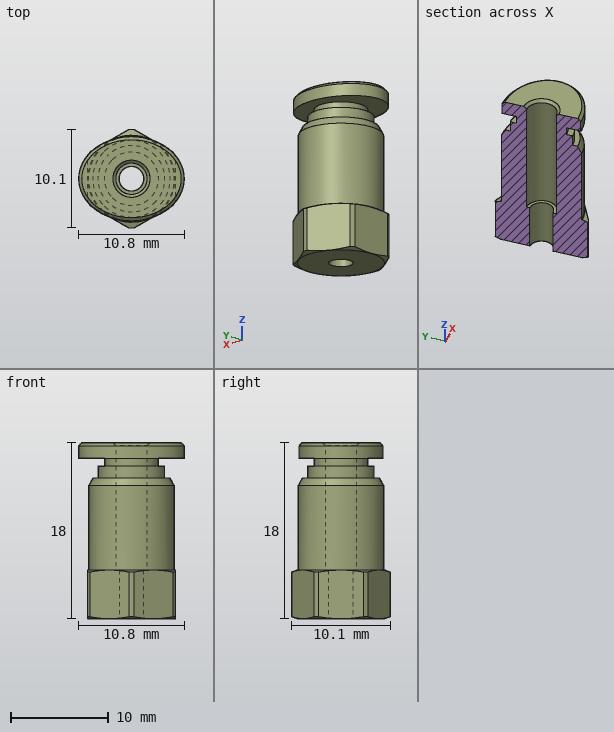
import cadquery as cq
import math

HEX_TOP = 5.0
BODY_TOP = 14.4
COLLAR_TOP = 15.6
BUTTON_BOTTOM = 16.4
TOTAL_HEIGHT = 18.0

HEX_ACROSS_FLATS = 9.0
HEX_CORNER_DIAMETER = 10.1
HEX_CHAMFER_DIAMETER = 8.9
HEX_CHAMFER_ANGLE = 20.0

BODY_DIAMETER = 8.75
BODY_CHAMFER_HEIGHT = 0.8
BODY_CHAMFER_WIDTH = 0.43
COLLAR_DIAMETER = 6.8
NECK_DIAMETER = 5.5

BUTTON_LENGTH = 10.8
BUTTON_WIDTH = 8.6
BUTTON_CHAMFER = 0.32

THROUGH_DIAMETER = 2.5
TUBE_DIAMETER = 3.2
TUBE_MOUTH_DIAMETER = 3.8
TUBE_SEAT_HEIGHT = HEX_TOP


def cylinder(diameter, bottom, top):
    """Upright cylinder on the Z axis between two heights."""
    return cq.Workplane("XY").workplane(offset=bottom).circle(diameter / 2).extrude(top - bottom)


def hex_base():
    """Hexagon with two corners on the Y axis, its corners rounded and its ends conically chamfered."""
    across_corners = HEX_ACROSS_FLATS / math.cos(math.radians(30))
    prism = cq.Workplane("XY").polygon(6, across_corners).extrude(HEX_TOP)
    prism = prism.rotate((0, 0, 0), (0, 0, 1), 30)

    corner_radius = HEX_CORNER_DIAMETER / 2
    end_radius = HEX_CHAMFER_DIAMETER / 2
    chamfer_drop = (corner_radius - end_radius) * math.tan(math.radians(HEX_CHAMFER_ANGLE))
    envelope = (
        cq.Workplane("XZ")
        .moveTo(0, 0)
        .lineTo(end_radius, 0)
        .lineTo(corner_radius, chamfer_drop)
        .lineTo(corner_radius, HEX_TOP - chamfer_drop)
        .lineTo(end_radius, HEX_TOP)
        .lineTo(0, HEX_TOP)
        .close()
        .revolve(360, (0, 0, 0), (0, 1, 0))
    )
    return prism.intersect(envelope)


def body():
    """Round body with a steep chamfer at its upper edge."""
    plain = cylinder(BODY_DIAMETER, HEX_TOP, BODY_TOP)
    return plain.faces(">Z").chamfer(BODY_CHAMFER_HEIGHT, BODY_CHAMFER_WIDTH)


def button():
    """Elliptical plate chamfered around its top edge."""
    plate = (
        cq.Workplane("XY")
        .workplane(offset=BUTTON_BOTTOM)
        .ellipse(BUTTON_LENGTH / 2, BUTTON_WIDTH / 2)
        .extrude(TOTAL_HEIGHT - BUTTON_BOTTOM)
    )
    return plate.faces(">Z").chamfer(BUTTON_CHAMFER)


def bore():
    """Through hole, wider tube socket above it and a 45 degree lead-in at the top."""
    lead_in = (TUBE_MOUTH_DIAMETER - TUBE_DIAMETER) / 2
    return (
        cq.Workplane("XZ")
        .moveTo(0, 0)
        .lineTo(THROUGH_DIAMETER / 2, 0)
        .lineTo(THROUGH_DIAMETER / 2, TUBE_SEAT_HEIGHT)
        .lineTo(TUBE_DIAMETER / 2, TUBE_SEAT_HEIGHT)
        .lineTo(TUBE_DIAMETER / 2, TOTAL_HEIGHT - lead_in)
        .lineTo(TUBE_MOUTH_DIAMETER / 2, TOTAL_HEIGHT)
        .lineTo(0, TOTAL_HEIGHT)
        .close()
        .revolve(360, (0, 0, 0), (0, 1, 0))
    )


collar = cylinder(COLLAR_DIAMETER, BODY_TOP, COLLAR_TOP)
neck = cylinder(NECK_DIAMETER, COLLAR_TOP, BUTTON_BOTTOM)

result = hex_base().union(body()).union(collar).union(neck).union(button()).cut(bore())